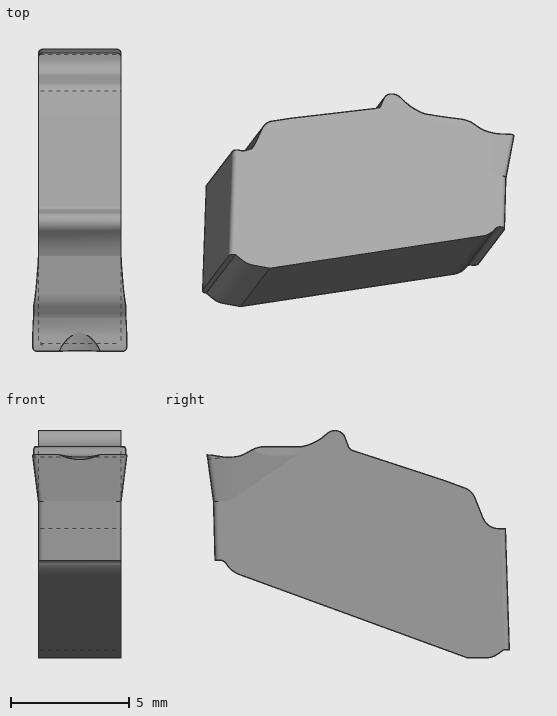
import cadquery as cq

LENGTH = 12.8
BODY_WIDTH = 3.51
HEAD_WIDTH = 4.0
EDGE_HEIGHT = 8.6
PEAK_HEIGHT = 9.63
CORNER_RADIUS = 0.2
MIN_CORNER_HEIGHT = 1.28

FRONT_BREAK = (0.27, 6.63)
FRONT_FOOT = (0.33, 4.13)

FLARE_BOTTOM = FRONT_BREAK[1]
FLARE_END = 4.02
FLARE_END_HEIGHT = 8.72
FLARE_BEND = (1.42, 6.94)
FLARE_RISE = 1.92
DECK_HEIGHT = 8.95
MARGIN = 1.28

GROOVE_DEPTH = 0.19
GROOVE_WIDTH = 1.66
GROOVE_END = (0.83, 8.52)

HALF_BODY = BODY_WIDTH / 2
HALF_HEAD = HEAD_WIDTH / 2


def side_profile():
    """Side outline in Y and Z, extruded to the full head width."""
    outline = (
        cq.Workplane("YZ")
        .moveTo(0, EDGE_HEIGHT)
        .lineTo(0.19, 8.59)
        .lineTo(0.68, 8.51)
        .threePointArc((1.0, 8.5), (1.42, 8.56))
        .lineTo(1.55, 8.61)
        .lineTo(1.85, 8.78)
        .threePointArc((2.11, 8.9), (2.4, DECK_HEIGHT))
        .lineTo(FLARE_END, DECK_HEIGHT)
        .threePointArc((4.52, 9.11), (5.08, 9.5))
        .threePointArc((5.45, PEAK_HEIGHT), (5.84, 9.36))
        .lineTo(5.98, 8.97)
        .threePointArc((6.03, 8.87), (6.13, 8.8))
        .lineTo(10.01, 7.53)
        .lineTo(10.92, 7.2)
        .threePointArc((11.16, 7.04), (11.33, 6.81))
        .lineTo(11.67, 5.95)
        .threePointArc((11.95, 5.6), (12.42, 5.48))
        .lineTo(12.63, 5.48)
        .lineTo(LENGTH, 0.35)
        .lineTo(12.57, 0.35)
        .lineTo(12.25, 0.13)
        .threePointArc((12.06, 0.04), (11.83, 0))
        .lineTo(11.02, 0)
        .lineTo(1.46, 3.5)
        .threePointArc((1.1, 3.67), (0.85, 3.93))
        .threePointArc((0.72, 4.08), (0.52, 4.13))
        .lineTo(*FRONT_FOOT)
        .lineTo(*FRONT_BREAK)
        .close()
    )
    return outline.extrude(HALF_HEAD, both=True)


def flare_outline(x, rise):
    """Outline of the flared zone on the plane at x, lifted by rise."""
    top = PEAK_HEIGHT + MARGIN
    points = [
        (-MARGIN, FLARE_BOTTOM),
        (0.68, FLARE_BOTTOM),
        FLARE_BEND,
        (FLARE_END, FLARE_END_HEIGHT),
        (FLARE_END, top),
    ]
    front, bend_start, bend_end, end, end_top = [cq.Vector(x, y, z + rise) for y, z in points]
    bend_middle = cq.Vector(x, 1.05, 6.7 + rise)
    front_top = cq.Vector(x, -MARGIN, top + rise)
    return cq.Wire.assembleEdges([
        cq.Edge.makeLine(front, bend_start),
        cq.Edge.makeThreePointArc(bend_start, bend_middle, bend_end),
        cq.Edge.makeLine(bend_end, end),
        cq.Edge.makeLine(end, end_top),
        cq.Edge.makeLine(end_top, front_top),
        cq.Edge.makeLine(front_top, front),
    ])


def flare():
    """Widening of the head on the +X side."""
    wires = [flare_outline(HALF_BODY, 0), flare_outline(HALF_HEAD, FLARE_RISE)]
    wedge = cq.Workplane(cq.Solid.makeLoft(wires, True))
    plan = (
        cq.Workplane("XY")
        .moveTo(0, FLARE_END)
        .lineTo(HALF_BODY, FLARE_END)
        .threePointArc((HALF_BODY + 0.05, 3.07), (HALF_BODY + 0.17, 2.11))
        .lineTo(HALF_HEAD, 1.79)
        .lineTo(HALF_HEAD, -MARGIN)
        .lineTo(0, -MARGIN)
        .close()
        .extrude(PEAK_HEIGHT)
    )
    return wedge.intersect(plan)


def edge_groove():
    """Tilted cylinder whose lowest line climbs from the cutting edge to the valley."""
    radius = (GROOVE_WIDTH**2 / 4 + GROOVE_DEPTH**2) / (2 * GROOVE_DEPTH)
    end_y, end_z = GROOVE_END
    start_z = EDGE_HEIGHT - GROOVE_DEPTH
    axis = cq.Vector(0, end_y, end_z - start_z)
    start = cq.Vector(0, 0, start_z + radius) - axis
    return cq.Workplane(cq.Solid.makeCylinder(radius, 2 * axis.Length, start, axis))


def round_end_corners(solid):
    """Round the long upright edges between the side faces and the two ends."""
    edges = []
    for edge in solid.edges().vals():
        center = edge.Center()
        at_end = center.y < FRONT_FOOT[0] or center.y > LENGTH - FRONT_BREAK[0]
        if at_end and abs(center.x) > HALF_BODY - 0.01 and edge.BoundingBox().zlen > MIN_CORNER_HEIGHT:
            edges.append(edge)
    return solid.newObject(edges).fillet(CORNER_RADIUS)


profile = side_profile()
core = profile.intersect(cq.Workplane("XY").box(BODY_WIDTH, 3 * LENGTH, 3 * LENGTH))
right_flare = profile.intersect(flare())
body = core.union(right_flare).union(right_flare.mirror("YZ"))

below_break = cq.Workplane("XY").box(3 * LENGTH, 3 * LENGTH, FLARE_BOTTOM, centered=(True, True, False))
lower_body = round_end_corners(body.intersect(below_break))
head = round_end_corners(body.cut(below_break))
result = lower_body.union(head).cut(edge_groove())